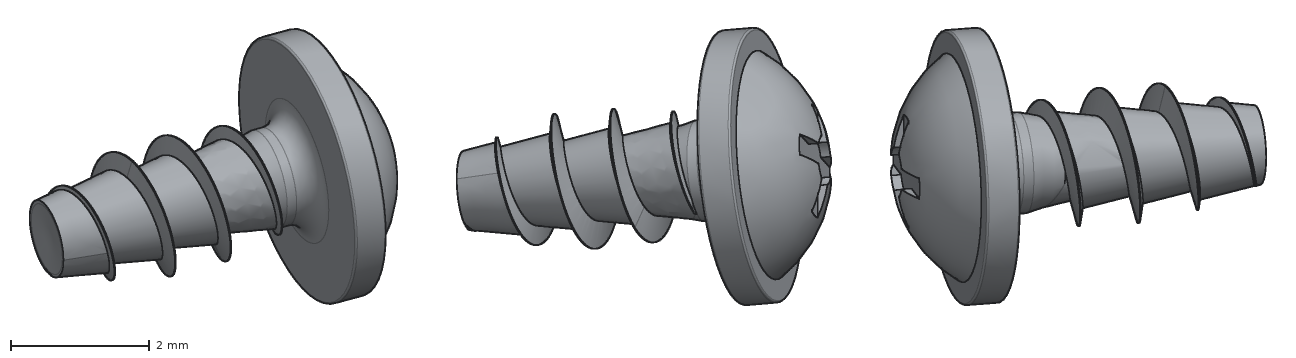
import cadquery as cq
import math


collar_radius = 2.0
collar_height = 0.5
collar_edge_round = 0.03
dome_base_radius = 1.664
dome_apex_height = 1.403
recess_floor_height = 1.22
recess_wing_width = 0.31
recess_core_radius = 0.36

shank_radius = 0.736
neck_fillet = 0.35
neck_length = 0.5
shank_length = 4.0
tip_radius = 0.58
tip_rim_radius = 0.53
tip_dimple_depth = 0.05
tip_slope = 0.17
core_rod_radius = 0.57
runout_end_radius = 0.61
runout_length = 0.5

pitch = 0.886
crest_radius = 1.0
crest_half_width = 0.008
thread_inner_radius = 0.5
upper_flank_slope = 0.25
lower_flank_slope = 0.28
crest_depth_on_x_axis = 0.656
thread_start_depth = 0.4
lead_in_slope = 0.2
full_thread_start_depth = 1.38
full_thread_end_depth = 2.645
thread_end_depth = 4.08
lead_out_slope = -0.315

groove_gap = 0.02
groove_top_radius = 0.7356
groove_slope = 0.172
groove_start_depth = -0.5
groove_end_depth = 4.2


def helix_edge(radius, start_depth, length, radial_slope, start_angle):
    """One helical edge whose radius changes by radial_slope per unit of depth."""
    taper = math.atan(radial_slope)
    slant = 1 / math.cos(taper)
    if radial_slope == 0:
        wire = cq.Wire.makeHelix(pitch, length, radius)
    else:
        cone_angle = math.degrees(taper)
        wire = cq.Wire.makeHelix(pitch * slant, length * slant, radius, angle=cone_angle)
    edge = wire.Edges()[0]
    edge = edge.rotate(cq.Vector(0, 0, 0), cq.Vector(0, 0, 1), start_angle)
    return edge.translate(cq.Vector(0, 0, start_depth))


def cap(edges, at_end):
    """Flat end face through the end points of the helical edges."""
    points = [edge.endPoint() if at_end else edge.startPoint() for edge in edges]
    return cq.Face.makeFromWires(cq.Wire.makePolygon(points, close=True))


def helical_solid(corners, stretches):
    """Sweep a polygon of (axial offset, radius) corners round the axis.

    Each stretch is (start depth, end depth, radial slope); they follow one another.
    """
    faces = []
    shift = 0.0
    for start, end, slope in stretches:
        angle = 360 * (start - crest_depth_on_x_axis) / pitch
        edges = [
            helix_edge(radius + shift, start + offset, end - start, slope, angle)
            for offset, radius in corners
        ]
        if not faces:
            faces.append(cap(edges, at_end=False))
        for edge, next_edge in zip(edges, edges[1:] + edges[:1]):
            faces.append(cq.Face.makeRuledSurface(edge, next_edge))
        shift += slope * (end - start)
    faces.append(cap(edges, at_end=True))
    solid = cq.Solid.makeSolid(cq.Shell.makeShell(faces))
    return cq.Workplane(obj=solid.fix())


def make_thread():
    lead_in_drop = lead_in_slope * (full_thread_start_depth - thread_start_depth)
    start_crest = crest_radius - lead_in_drop
    start_root = thread_inner_radius - lead_in_drop
    flank_depth = crest_radius - thread_inner_radius
    corners = [
        (-crest_half_width - upper_flank_slope * flank_depth, start_root),
        (-crest_half_width, start_crest),
        (crest_half_width, start_crest),
        (crest_half_width + lower_flank_slope * flank_depth, start_root),
    ]
    stretches = [
        (thread_start_depth, full_thread_start_depth, lead_in_slope),
        (full_thread_start_depth, full_thread_end_depth, 0.0),
        (full_thread_end_depth, thread_end_depth, lead_out_slope),
    ]
    threaded_span = (
        cq.Workplane("XY", origin=(0, 0, neck_length))
        .circle(collar_radius)
        .extrude(shank_length - neck_length)
    )
    return helical_solid(corners, stretches).intersect(threaded_span)


def make_core():
    tapered_length = pitch - 2 * groove_gap
    groove_bottom_radius = groove_top_radius - groove_slope * tapered_length
    corners = [
        (groove_gap, thread_inner_radius),
        (groove_gap, groove_top_radius),
        (groove_gap + tapered_length, groove_bottom_radius),
        (groove_gap + tapered_length, thread_inner_radius),
    ]
    sawtooth = helical_solid(corners, [(groove_start_depth, groove_end_depth, 0.0)])
    tip_cone_start = shank_length - (shank_radius - tip_radius) / tip_slope
    envelope = (
        cq.Workplane("XZ")
        .moveTo(0, neck_length)
        .lineTo(shank_radius, neck_length)
        .lineTo(shank_radius, tip_cone_start)
        .lineTo(tip_radius, shank_length)
        .lineTo(0, shank_length)
        .close()
        .revolve(360, (0, 0), (0, 1))
    )
    rod = (
        cq.Workplane("XZ")
        .moveTo(0, neck_length)
        .lineTo(shank_radius, neck_length)
        .lineTo(runout_end_radius, neck_length + runout_length)
        .lineTo(core_rod_radius, neck_length + runout_length)
        .lineTo(core_rod_radius, shank_length)
        .lineTo(0, shank_length)
        .close()
        .revolve(360, (0, 0), (0, 1))
    )
    return rod.union(sawtooth.intersect(envelope))


def make_head():
    dome_rise = dome_apex_height - collar_height
    dome_sphere_radius = (dome_base_radius**2 + dome_rise**2) / (2 * dome_rise)
    half_base = dome_base_radius / 2
    sphere_centre_height = dome_apex_height - dome_sphere_radius
    mid_height = sphere_centre_height + math.sqrt(dome_sphere_radius**2 - half_base**2)
    dome = (
        cq.Workplane("XZ")
        .moveTo(0, -collar_height)
        .lineTo(0, -dome_apex_height)
        .threePointArc((half_base, -mid_height), (dome_base_radius, -collar_height))
        .close()
        .revolve(360, (0, 0), (0, 1))
    )
    collar = (
        cq.Workplane("XY")
        .circle(collar_radius)
        .extrude(-collar_height)
        .edges()
        .fillet(collar_edge_round)
    )
    return collar.union(dome)


def make_neck():
    fillet_mid = neck_fillet * (1 - math.sqrt(0.5))
    return (
        cq.Workplane("XZ")
        .lineTo(shank_radius + neck_fillet, 0)
        .threePointArc(
            (shank_radius + fillet_mid, fillet_mid), (shank_radius, neck_fillet)
        )
        .lineTo(shank_radius, neck_length)
        .lineTo(0, neck_length)
        .close()
        .revolve(360, (0, 0), (0, 1))
    )


def make_recess():
    floor = cq.Workplane("XY", origin=(0, 0, -recess_floor_height))
    depth = dome_apex_height - recess_floor_height
    wing_span = 2 * dome_base_radius
    recess = floor.circle(recess_core_radius).extrude(-depth)
    for length, width in ((wing_span, recess_wing_width), (recess_wing_width, wing_span)):
        recess = recess.union(floor.rect(length, width).extrude(-depth))
    return recess


def make_tip_dimple():
    return (
        cq.Workplane("XZ")
        .moveTo(0, shank_length)
        .lineTo(tip_rim_radius, shank_length)
        .lineTo(0, shank_length - tip_dimple_depth)
        .close()
        .revolve(360, (0, 0), (0, 1))
    )


screw = make_head().union(make_neck()).union(make_core()).union(make_thread())
screw = screw.cut(make_recess()).cut(make_tip_dimple())

result = screw.rotate((0, 0, 0), (1, 0, 0), 90)